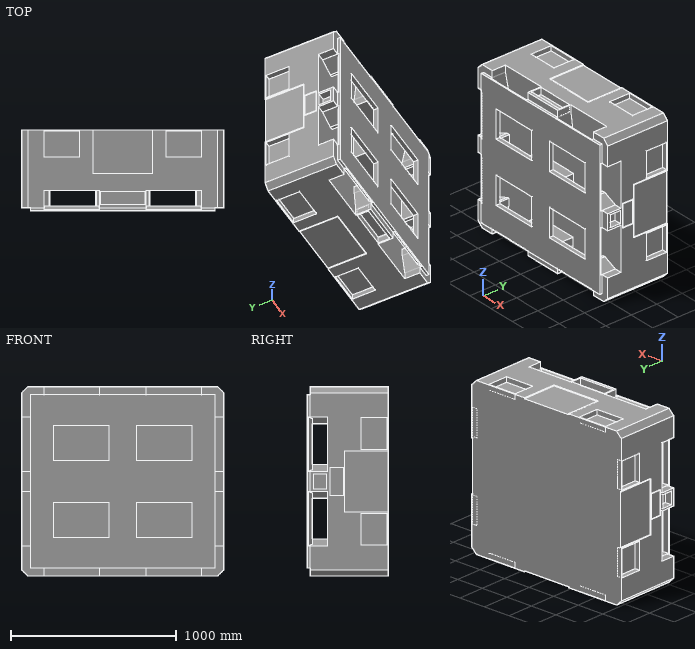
import cadquery as cq

width = 1219.0
depth = 489.0
height = 1144.0
corner_chamfer = 38.0

plate_width = 1114.0
plate_height = 1046.0
plate_thickness = 18.0

channel_top = 122.0
channel_floor = 30.0
lip_floor = 7.0
floor_ramp_run = 24.0
side_mouth = (60.0, 389.0)
side_throat = (102.0, 346.0)
side_taper_run = 98.0
end_mouth = (140.0, 475.0)
end_throat = (160.0, 444.0)
end_core = (166.0, 438.0)
end_taper_run = 122.0

window_width = 335.0
window_height = 211.0
window_x = 250.0
window_z = 232.0

pocket_length = 157.0
pocket_margin = 7.0
pocket_depth = 37.0
end_pocket = (262.0, 475.0)
side_pocket = (193.0, 384.0)

panel_length = 265.0
panel_depth = 6.0
end_panel_half = 179.0
side_panel_half = 184.0
label_gap = 6.0
label_length = 80.0
label_half = 84.0
label_depth = 5.0

foot_pocket_back = 117.0
foot_pocket_front = 39.0
end_foot_half = 133.0
side_foot_half = 45.0
foot_pocket_depth = 50.0


def box(x_range, y_range, z_range):
    """Axis-aligned block spanning the three given ranges."""
    (x0, x1), (y0, y1), (z0, z1) = x_range, y_range, z_range
    block = cq.Workplane("XY").box(x1 - x0, y1 - y0, z1 - z0, centered=False)
    return block.translate((x0, y0, z0))


def end_cut(x_range, y_range, cut_depth):
    """Block cut into the +Z end wall from outside."""
    return box(x_range, y_range, (height / 2 - cut_depth, height / 2))


def side_cut(z_range, y_range, cut_depth):
    """Block cut into the -X side wall from outside."""
    return box((-width / 2, -width / 2 + cut_depth), y_range, z_range)


def flared_edge(half_length, half_plate, mouth, throat, taper_run):
    """Wall of a channel as (across, along) points: straight mouth, taper, throat, and the same reversed."""
    taper_end = half_plate - taper_run
    half = [(mouth, half_length), (mouth, half_plate), (throat, taper_end)]
    return half + [(across, -along) for across, along in reversed(half)]


def floor_profile(half_length, half_plate):
    """Section along a channel: flat back wall and a floor ramped at both ends."""
    ramp_end = half_plate - floor_ramp_run
    return [
        (-half_length, channel_top),
        (-half_length, lip_floor),
        (-half_plate, lip_floor),
        (-ramp_end, channel_floor),
        (ramp_end, channel_floor),
        (half_plate, lip_floor),
        (half_length, lip_floor),
        (half_length, channel_top),
    ]


def end_channel():
    """Fork channel running along Z on the +X side, narrowed slightly between the middle blocks."""
    inner, outer = (
        flared_edge(height / 2, plate_height / 2, mouth, throat, end_taper_run)
        for mouth, throat in zip(end_mouth, end_throat)
    )
    plan = cq.Workplane("XZ").polyline(inner + outer[::-1]).close().extrude(-channel_top)
    profile = [(y, z) for z, y in floor_profile(height / 2, plate_height / 2)]
    section = cq.Workplane("YZ").polyline(profile).close().extrude(width / 2)
    core_z = (-side_throat[0], side_throat[0])
    for throat, core in zip(end_throat, end_core):
        step = (min(throat, core), max(throat, core))
        plan = plan.cut(box(step, (0, channel_top), core_z))
    return plan.intersect(section)


def side_channel():
    """Fork channel running along X on the +Z side."""
    inner, outer = (
        flared_edge(width / 2, plate_width / 2, mouth, throat, side_taper_run)
        for mouth, throat in zip(side_mouth, side_throat)
    )
    outline = [(x, z) for z, x in inner + outer[::-1]]
    plan = cq.Workplane("XZ").polyline(outline).close().extrude(-channel_top)
    profile = floor_profile(width / 2, plate_width / 2)
    section = cq.Workplane("XY").polyline(profile).close().extrude(height / 2)
    return plan.intersect(section)


body = (
    box((-width / 2, width / 2), (plate_thickness, depth), (-height / 2, height / 2))
    .edges("|Y")
    .chamfer(corner_chamfer)
)
plate = box(
    (-plate_width / 2, plate_width / 2),
    (0, plate_thickness),
    (-plate_height / 2, plate_height / 2),
)
result = body.union(plate)

for cutter, mirror_plane in ((end_channel(), "YZ"), (side_channel(), "XY")):
    result = result.cut(cutter).cut(cutter.mirror(mirror_plane))

for x in (-window_x, window_x):
    for z in (-window_z, window_z):
        result = result.cut(
            box(
                (x - window_width / 2, x + window_width / 2),
                (0, channel_floor),
                (z - window_height / 2, z + window_height / 2),
            )
        )

pocket_y = (depth - pocket_margin - pocket_length, depth - pocket_margin)
panel_y = (depth - panel_length, depth)
label_back = depth - panel_length - label_gap
label_y = (label_back - label_length, label_back)
foot_y = (foot_pocket_front, foot_pocket_back)

end_pocket_cut = end_cut(end_pocket, pocket_y, pocket_depth)
end_cuts = (
    end_pocket_cut,
    end_pocket_cut.mirror("YZ"),
    end_cut((-end_panel_half, end_panel_half), panel_y, panel_depth),
    end_cut((-end_foot_half, end_foot_half), foot_y, foot_pocket_depth),
)
side_pocket_cut = side_cut(side_pocket, pocket_y, pocket_depth)
side_cuts = (
    side_pocket_cut,
    side_pocket_cut.mirror("XY"),
    side_cut((-side_panel_half, side_panel_half), panel_y, panel_depth),
    side_cut((-label_half, label_half), label_y, label_depth),
    side_cut((-side_foot_half, side_foot_half), foot_y, foot_pocket_depth),
)
for cutters, mirror_plane in ((end_cuts, "XY"), (side_cuts, "YZ")):
    for cutter in cutters:
        result = result.cut(cutter).cut(cutter.mirror(mirror_plane))